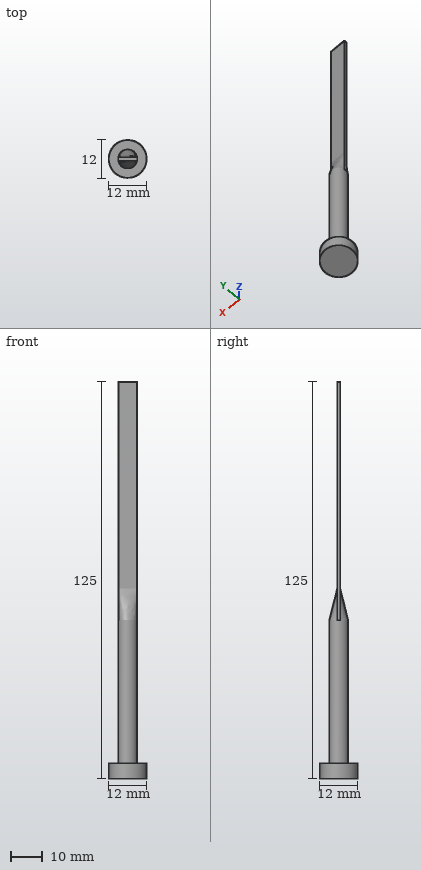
import cadquery as cq
import math

head_height = 5.0
shank_top = 50.0
blade_start = 60.0
total_height = 125.0

head_diameter = 12.0
shank_diameter = 6.0
blade_thickness = 1.0

shank_radius = shank_diameter / 2
half_thickness = blade_thickness / 2
half_width = math.sqrt(shank_radius**2 - half_thickness**2)
blade_width = 2 * half_width


def make_head():
    """Round head at the base of the pin."""
    return cq.Workplane("XY").circle(head_diameter / 2).extrude(head_height)


def make_shank():
    """Cylindrical shank rising from the head."""
    shank_length = shank_top - head_height
    return cq.Workplane("XY").workplane(offset=head_height).circle(shank_radius).extrude(shank_length)


def make_transition():
    """Loft from the shank circle with two flat sides to the blade rectangle."""
    return (
        cq.Workplane("XY")
        .workplane(offset=shank_top)
        .moveTo(-half_width, -half_thickness)
        .threePointArc((0, -shank_radius), (half_width, -half_thickness))
        .lineTo(half_width, half_thickness)
        .threePointArc((0, shank_radius), (-half_width, half_thickness))
        .close()
        .workplane(offset=blade_start - shank_top)
        .rect(blade_width, blade_thickness)
        .loft(ruled=True)
    )


def make_blade():
    """Thin flat blade above the transition."""
    blade_length = total_height - blade_start
    return (
        cq.Workplane("XY")
        .workplane(offset=blade_start)
        .rect(blade_width, blade_thickness)
        .extrude(blade_length)
    )


result = make_head().union(make_shank()).union(make_transition()).union(make_blade())